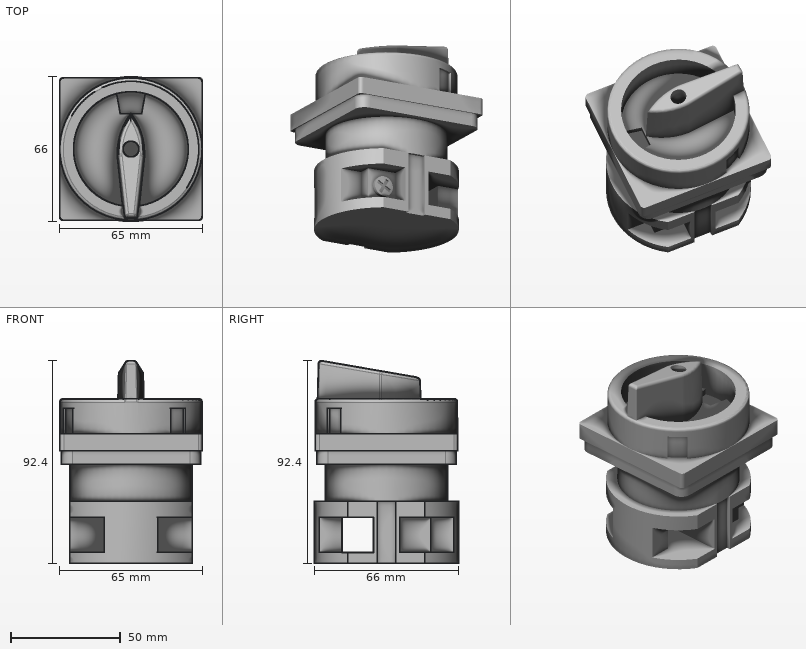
import cadquery as cq
import math

BASE_TOP = 28.4
BODY_TOP = 45.2
LOWER_PLATE_TOP = 51.3
UPPER_PLATE_TOP = 59.0
DIAL_TOP = 75.0

BASE_DIAMETER = 66.0
BASE_RADIUS = BASE_DIAMETER / 2
BODY_RADIUS = 27.9
BASE_FLAT_X = 28.0
KEYWAY_WIDTH = 8.6
KEYWAY_DEPTH = 1.85

WINDOW_BOTTOM = 5.0
WINDOW_TOP = 21.0
WINDOW_INNER_Y = 6.0
TUNNEL_OUTER_Y = 20.2
CORNER_WALL_X = 12.2
TERMINAL_WALL_X = 18.7

SCREW_RADIUS = 4.7
SCREW_HEAD_HEIGHT = 2.0
CROSS_LENGTH = 7.4
CROSS_WIDTH = 1.7
CROSS_DEPTH = 0.9
CROSS_TILT = 30

UPPER_PLATE_SIDE = 65.0
UPPER_PLATE_CORNER = 1.85
LOWER_PLATE_SIDE = 63.6
LOWER_PLATE_CORNER = 5.0

DIAL_RADIUS = 32.4
DIAL_EDGE_FILLET = 1.5
RECESS_RADIUS = 26.1
RECESS_FLOOR_THICKNESS = 3.0
RECESS_FLOOR = UPPER_PLATE_TOP + RECESS_FLOOR_THICKNESS
POCKET_Y = 16.1
POCKET_HALF_WIDTH = 4.9
POCKET_SIDE_ANGLE = 10
NOTCH_DEPTH = 1.2
NOTCH_TOP = 70.75
NOTCH_ANGLES = [(198.4, 215.4), (303.8, 320.0)]

HANDLE_HALF_WIDTH = 6.3
HANDLE_TIP_Y = 16.3
HANDLE_END_Y = -31.8
HANDLE_WIDEST_Y = -2.3
HANDLE_SIDE_ANGLE = 6
HANDLE_BLEND_RADIUS = 10.0
HANDLE_DRAFT = 1.5
HANDLE_AXIS_HEIGHT = 87.3
HANDLE_TOP_SLOPE = 9.8
HANDLE_TOP_FILLET = 1.5
HANDLE_END_FILLET = 0.6
HANDLE_HOLE_RADIUS = 3.6


def block(x_range, y_range, z_range):
    """Box spanning the given (low, high) ranges."""
    (x0, x1), (y0, y1), (z0, z1) = x_range, y_range, z_range
    return cq.Workplane("XY").box(x1 - x0, y1 - y0, z1 - z0, centered=False).translate((x0, y0, z0))


def cylinder(radius, bottom, top):
    return cq.Workplane("XY").workplane(offset=bottom).circle(radius).extrude(top - bottom)


def square_plate(side, corner, bottom, top):
    plate = cq.Workplane("XY").workplane(offset=bottom).rect(side, side).extrude(top - bottom)
    return plate.edges("|Z").fillet(corner)


def make_base():
    """Round base with two flats, keyways and open terminal windows."""
    flats = cq.Workplane("XY").rect(2 * BASE_FLAT_X, 2 * BASE_RADIUS).extrude(BASE_TOP)
    base = cylinder(BASE_RADIUS, 0, BASE_TOP).intersect(flats)
    window_z = (WINDOW_BOTTOM, WINDOW_TOP)
    half_keyway = KEYWAY_WIDTH / 2
    left_cutters = [
        block((-BASE_RADIUS, KEYWAY_DEPTH - BASE_FLAT_X), (-half_keyway, half_keyway), (0, BASE_TOP)),
        block((-BASE_RADIUS, -CORNER_WALL_X), (-BASE_RADIUS, -WINDOW_INNER_Y), window_z),
        block((-BASE_RADIUS, -TERMINAL_WALL_X), (WINDOW_INNER_Y, BASE_RADIUS), window_z),
        block((-BASE_RADIUS, -CORNER_WALL_X), (TUNNEL_OUTER_Y, BASE_RADIUS), window_z),
    ]
    for cutter in left_cutters:
        base = base.cut(cutter).cut(cutter.mirror("YZ"))
    return base.cut(block((-BASE_RADIUS, BASE_RADIUS), (-TUNNEL_OUTER_Y, -WINDOW_INNER_Y), window_z))


def make_screw():
    """Raised screw head on the terminal wall, facing -X, with a tilted cross recess."""
    centre_y = (WINDOW_INNER_Y + TUNNEL_OUTER_Y) / 2
    centre_z = (WINDOW_BOTTOM + WINDOW_TOP) / 2
    wall = cq.Workplane("YZ", origin=(-TERMINAL_WALL_X, centre_y, centre_z))
    head = wall.circle(SCREW_RADIUS).extrude(-SCREW_HEAD_HEIGHT)
    face = wall.workplane(offset=-SCREW_HEAD_HEIGHT).transformed(rotate=(0, 0, CROSS_TILT))
    for length, width in ((CROSS_LENGTH, CROSS_WIDTH), (CROSS_WIDTH, CROSS_LENGTH)):
        head = head.cut(face.rect(length, width).extrude(CROSS_DEPTH))
    return head


def make_notch(start_angle, end_angle):
    """Shallow notch in the dial's outer wall, with radial ends."""
    reach = 2 * DIAL_RADIUS
    corners = [(0, 0)]
    for angle in (start_angle, end_angle):
        corners.append((reach * math.cos(math.radians(angle)), reach * math.sin(math.radians(angle))))
    height = NOTCH_TOP - UPPER_PLATE_TOP
    wedge = cq.Workplane("XY").workplane(offset=UPPER_PLATE_TOP).polyline(corners).close().extrude(height)
    return wedge.cut(cylinder(DIAL_RADIUS - NOTCH_DEPTH, UPPER_PLATE_TOP, NOTCH_TOP))


def make_dial():
    """Ring with a deep recess, a tapered floor pocket and side notches."""
    dial = cylinder(DIAL_RADIUS, UPPER_PLATE_TOP, DIAL_TOP)
    dial = dial.cut(cylinder(RECESS_RADIUS, RECESS_FLOOR, DIAL_TOP))
    flare = (RECESS_RADIUS - POCKET_Y) * math.tan(math.radians(POCKET_SIDE_ANGLE))
    outer_half_width = POCKET_HALF_WIDTH + flare
    pocket = (
        cq.Workplane("XY")
        .workplane(offset=UPPER_PLATE_TOP)
        .moveTo(-POCKET_HALF_WIDTH, POCKET_Y)
        .lineTo(POCKET_HALF_WIDTH, POCKET_Y)
        .lineTo(outer_half_width, RECESS_RADIUS)
        .lineTo(-outer_half_width, RECESS_RADIUS)
        .close()
        .extrude(RECESS_FLOOR - UPPER_PLATE_TOP)
    )
    dial = dial.cut(pocket.intersect(cylinder(RECESS_RADIUS, UPPER_PLATE_TOP, RECESS_FLOOR)))
    for start_angle, end_angle in NOTCH_ANGLES:
        dial = dial.cut(make_notch(start_angle, end_angle))
    return dial


def handle_outline():
    """Leaf-shaped outline: pointed at +Y, widest near the axis, narrowing straight to a flat -Y end."""
    tip_rise = HANDLE_TIP_Y - HANDLE_WIDEST_Y
    side_radius = (HANDLE_HALF_WIDTH**2 + tip_rise**2) / (2 * HANDLE_HALF_WIDTH)
    mid_y = HANDLE_WIDEST_Y + tip_rise / 2
    mid_x = HANDLE_HALF_WIDTH - side_radius + math.sqrt(side_radius**2 - (tip_rise / 2) ** 2)

    def blend_point(degrees):
        angle = math.radians(degrees)
        x = HANDLE_HALF_WIDTH - HANDLE_BLEND_RADIUS * (1 - math.cos(angle))
        return x, HANDLE_WIDEST_Y - HANDLE_BLEND_RADIUS * math.sin(angle)

    blend_mid = blend_point(HANDLE_SIDE_ANGLE / 2)
    blend_end = blend_point(HANDLE_SIDE_ANGLE)
    straight_length = blend_end[1] - HANDLE_END_Y
    end_x = blend_end[0] - straight_length * math.tan(math.radians(HANDLE_SIDE_ANGLE))
    return (
        cq.Workplane("XY")
        .workplane(offset=RECESS_FLOOR)
        .moveTo(0, HANDLE_TIP_Y)
        .threePointArc((mid_x, mid_y), (HANDLE_HALF_WIDTH, HANDLE_WIDEST_Y))
        .threePointArc(blend_mid, blend_end)
        .lineTo(end_x, HANDLE_END_Y)
        .lineTo(-end_x, HANDLE_END_Y)
        .lineTo(-blend_end[0], blend_end[1])
        .threePointArc((-blend_mid[0], blend_mid[1]), (-HANDLE_HALF_WIDTH, HANDLE_WIDEST_Y))
        .threePointArc((-mid_x, mid_y), (0, HANDLE_TIP_Y))
        .close()
    )


def make_handle():
    """Drafted handle with a sloping, rounded top and an axial hole."""
    stock_top = DIAL_TOP + DIAL_RADIUS
    handle = handle_outline().extrude(stock_top - RECESS_FLOOR, taper=HANDLE_DRAFT)
    above_slope = (
        cq.Workplane("XY", origin=(0, 0, HANDLE_AXIS_HEIGHT))
        .transformed(rotate=(-HANDLE_TOP_SLOPE, 0, 0))
        .rect(2 * UPPER_PLATE_SIDE, 2 * UPPER_PLATE_SIDE)
        .extrude(UPPER_PLATE_SIDE)
    )
    handle = handle.cut(above_slope)
    end_corners = handle.faces("<Y").edges("not |X")
    handle = end_corners.fillet(HANDLE_END_FILLET)
    handle = handle.faces(">Z").edges().fillet(HANDLE_TOP_FILLET)
    return handle.cut(cylinder(HANDLE_HOLE_RADIUS, RECESS_FLOOR, stock_top))


def make_operator():
    """Dial and handle in one, with the dial's outer top edge rounded up to the handle's end."""
    operator = make_dial().union(make_handle())
    outer_edge = operator.edges(cq.NearestToPointSelector((0, 0, DIAL_TOP)))
    return outer_edge.fillet(DIAL_EDGE_FILLET)


result = (
    make_base()
    .union(make_screw())
    .union(cylinder(BODY_RADIUS, BASE_TOP, BODY_TOP))
    .union(square_plate(LOWER_PLATE_SIDE, LOWER_PLATE_CORNER, BODY_TOP, LOWER_PLATE_TOP))
    .union(square_plate(UPPER_PLATE_SIDE, UPPER_PLATE_CORNER, LOWER_PLATE_TOP, UPPER_PLATE_TOP))
    .union(make_operator())
)